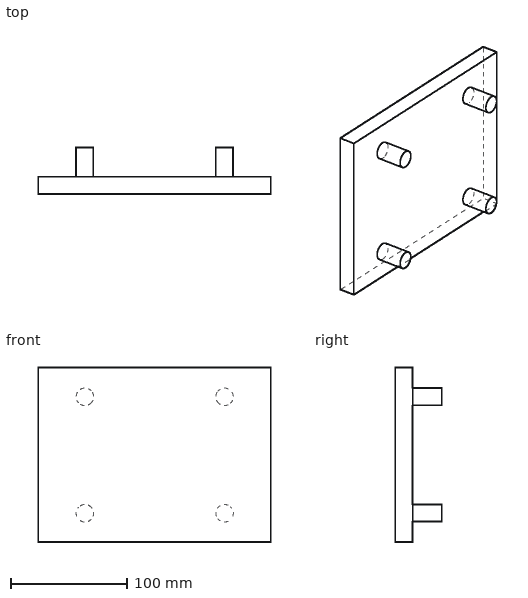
import cadquery as cq

plate_width = 200.0
plate_height = 150.0
plate_thickness = 15.0

peg_diameter = 15.0
peg_length = 25.0
peg_spacing_x = 120.0
peg_spacing_z = 100.0


def make_plate():
    return cq.Workplane("XY").box(
        plate_width, plate_thickness, plate_height, centered=(True, False, True)
    )


def add_pegs(body):
    return (
        body.faces(">Y")
        .workplane(centerOption="CenterOfBoundBox")
        .rect(peg_spacing_x, peg_spacing_z, forConstruction=True)
        .vertices()
        .circle(peg_diameter / 2)
        .extrude(peg_length)
    )


result = add_pegs(make_plate())